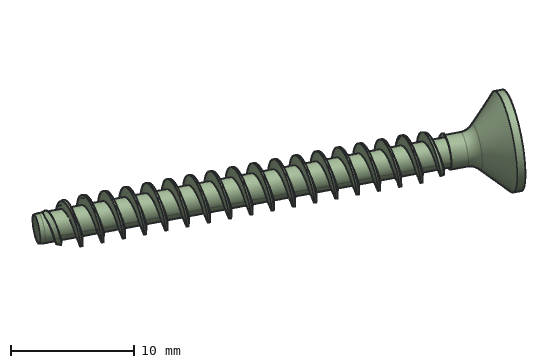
import cadquery as cq
import math

length = 40.0
head_radius = 4.2
rim_height = 0.7
cone_half_angle = math.radians(45)

neck_radius = 1.44
neck_end = 5.46
neck_fillet = 1.5

core_radius = 1.26
tip_radius = 1.2
tip_length = 0.4

pitch = 1.788
crest_radius = 2.05
crest_width = 0.18
root_width = 0.56
root_overlap = 0.15
crest_depth_at_plus_x = 6.43

run_in_radius = 1.6
run_in_end = 7.4
run_out_start = 37.1
run_out_end = 39.75
run_out_radius = 1.1


def make_shank():
    """Revolve the head, neck and core as one profile."""
    fillet_rise = neck_fillet * (1 - math.sin(cone_half_angle))
    fillet_length = neck_fillet * math.cos(cone_half_angle)
    cone_end_radius = neck_radius + fillet_rise
    cone_end = rim_height + (head_radius - cone_end_radius) / math.tan(cone_half_angle)
    fillet_end = cone_end + fillet_length
    mid_angle = (math.pi / 2 - cone_half_angle) / 2
    fillet_mid = (
        neck_radius + neck_fillet * (1 - math.cos(mid_angle)),
        -fillet_end + neck_fillet * math.sin(mid_angle),
    )
    return (
        cq.Workplane("XZ")
        .moveTo(0, 0)
        .lineTo(head_radius, 0)
        .lineTo(head_radius, -rim_height)
        .lineTo(cone_end_radius, -cone_end)
        .threePointArc(fillet_mid, (neck_radius, -fillet_end))
        .lineTo(neck_radius, -neck_end)
        .lineTo(core_radius, -neck_end)
        .lineTo(core_radius, -length + tip_length)
        .lineTo(tip_radius, -length)
        .lineTo(0, -length)
        .close()
        .revolve(360, (0, 0, 0), (0, 1, 0))
    )


def make_full_thread():
    """Sweep the tooth along a helix that overshoots both ends of the thread."""
    root_radius = core_radius - root_overlap
    turns = math.ceil((length - crest_depth_at_plus_x) / pitch) + 1
    start_z = -crest_depth_at_plus_x - (turns - 1) * pitch
    flank_slope = (root_width - crest_width) / 2 / (crest_radius - core_radius)
    half_crest = crest_width / 2
    half_root = root_width / 2 + flank_slope * root_overlap
    helix = cq.Wire.makeHelix(pitch, turns * pitch, core_radius)
    tooth = (
        cq.Workplane("XZ")
        .moveTo(root_radius, -half_root)
        .lineTo(crest_radius, -half_crest)
        .lineTo(crest_radius, half_crest)
        .lineTo(root_radius, half_root)
        .close()
    )
    return tooth.sweep(cq.Workplane(helix), isFrenet=True).translate((0, 0, start_z))


def make_thread_envelope():
    """Revolve the outline that the tooth crest may reach along the screw."""
    clearance = 0.3
    run_in_slope = (crest_radius - run_in_radius) / (run_in_end - neck_end)
    run_out_slope = (crest_radius - run_out_radius) / (run_out_end - run_out_start)
    outer_radius = crest_radius + clearance
    return (
        cq.Workplane("XZ")
        .moveTo(0, -neck_end)
        .lineTo(run_in_radius, -neck_end)
        .lineTo(outer_radius, -run_in_end - clearance / run_in_slope)
        .lineTo(outer_radius, -run_out_start + clearance / run_out_slope)
        .lineTo(run_out_radius, -run_out_end)
        .lineTo(0, -run_out_end)
        .close()
        .revolve(360, (0, 0, 0), (0, 1, 0))
    )


thread = make_full_thread().intersect(make_thread_envelope())
screw = make_shank().union(thread)
result = screw.rotate((0, 0, 0), (1, 0, 0), -90)